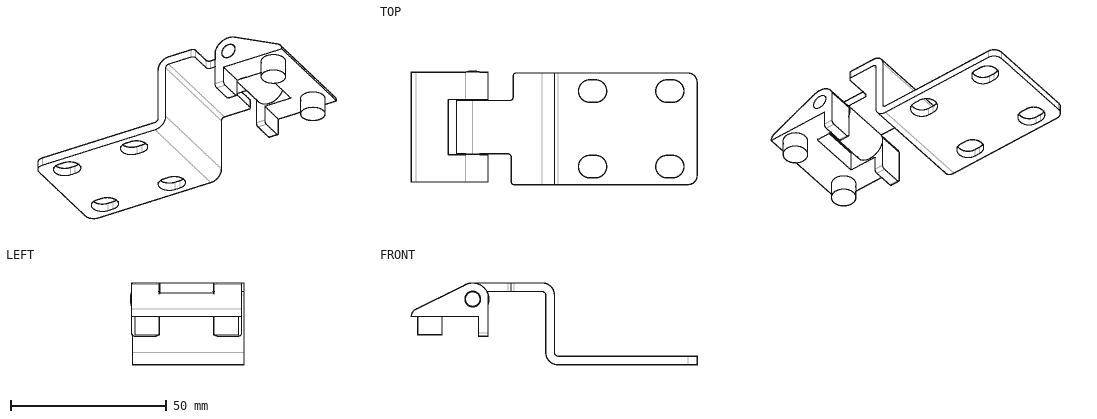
import cadquery as cq
import math


AXIS_X = 19.8
PIN_RADIUS = 2.4
PIN_CLEARANCE = 0.1
BORE_RADIUS = PIN_RADIUS + PIN_CLEARANCE
PIN_END_Y = 36.7
PIN_LENGTH = 30.0
PIN_DOME = 0.4

LENGTH = 92.25
BRACKET_WIDTH = 36.1
BRACKET_HEIGHT = 26.5
SHEET = 2.9
INNER_BEND = 1.1
OUTER_BEND = INNER_BEND + SHEET
WEB_X = 43.4
KNUCKLE_RADIUS = 5.3
AXIS_Z = BRACKET_HEIGHT - KNUCKLE_RADIUS
FOOT_CORNER_RADIUS = 3.0

NECK_WIDTH = 17.25
FRONT_SHOULDER_X = 32.2
REAR_SHOULDER_X = 32.8
SHOULDER_RADIUS = 1.0

SLOT_LENGTH = 9.0
SLOT_WIDTH = 7.2
SLOT_FIRST_X = 58.5
SLOT_SPACING_X = 24.9
SLOT_SPACING_Y = 24.4

BASE_WIDTH = 35.5
BASE_FRONT_Y = 0.8
CENTRE_Y = BASE_FRONT_Y + BASE_WIDTH / 2
BASE_BOTTOM_Z = 15.6
BARREL_RADIUS = 5.2
NOSE_RADIUS = 2.7
BASE_END_X = 24.8
OPENING_X = 12.0
OPENING_WIDTH = 17.8
FLANGE_THICKNESS = 3.1
FLANGE_BOTTOM_Z = 9.2
FLANGE_CORNER_RADIUS = 1.0
STUD_RADIUS = 4.0
STUD_X = 6.0
STUD_BOTTOM_Z = 9.7
STUD_SPACING = 25.5


def along_y(y_start, x=0, z=0):
    """XZ sketch plane at y_start whose extrusions run toward +Y."""
    return cq.Workplane(cq.Plane(origin=(x, y_start, z), xDir=(1, 0, 0), normal=(0, -1, 0)))


def y_prism(sketch, width):
    """Extrude an XZ sketch toward +Y."""
    return sketch.extrude(-width)


def box_between(x0, x1, y0, y1, z0, z1):
    return cq.Workplane("XY").box(x1 - x0, y1 - y0, z1 - z0, centered=False).translate((x0, y0, z0))


def make_pin():
    """Round pin with a shallow domed tip at its +Y end."""
    start_y = PIN_END_Y - PIN_LENGTH
    shoulder_y = PIN_END_Y - PIN_DOME
    dome_radius = (PIN_RADIUS**2 + PIN_DOME**2) / (2 * PIN_DOME)
    half_profile = (
        cq.Workplane("XY", origin=(AXIS_X, 0, AXIS_Z))
        .moveTo(0, start_y)
        .lineTo(PIN_RADIUS, start_y)
        .lineTo(PIN_RADIUS, shoulder_y)
        .radiusArc((0, PIN_END_Y), -dome_radius)
        .close()
    )
    return half_profile.revolve(360, (0, 0, 0), (0, 1, 0))


def pin_bore():
    """Cylinder on the hinge axis, long enough to pierce the base and the knuckle."""
    return y_prism(along_y(0, AXIS_X, AXIS_Z).circle(BORE_RADIUS), PIN_END_Y)


def make_base():
    run = AXIS_X - NOSE_RADIUS
    rise = AXIS_Z - BASE_BOTTOM_Z
    slope = math.atan2(rise, run) + math.asin((BARREL_RADIUS - NOSE_RADIUS) / math.hypot(run, rise))

    def on_arc(centre_x, centre_z, radius, angle):
        return centre_x + radius * math.cos(angle), centre_z + radius * math.sin(angle)

    def on_nose(angle):
        return on_arc(NOSE_RADIUS, BASE_BOTTOM_Z, NOSE_RADIUS, angle)

    def on_barrel(angle):
        return on_arc(AXIS_X, AXIS_Z, BARREL_RADIUS, angle)

    tangent = math.pi / 2 + slope
    barrel_end = math.acos((BASE_END_X - AXIS_X) / BARREL_RADIUS)
    base = y_prism(
        along_y(BASE_FRONT_Y)
        .moveTo(*on_nose(math.pi))
        .threePointArc(on_nose((math.pi + tangent) / 2), on_nose(tangent))
        .lineTo(*on_barrel(tangent))
        .threePointArc(on_barrel((tangent + barrel_end) / 2), on_barrel(barrel_end))
        .lineTo(BASE_END_X, FLANGE_BOTTOM_Z)
        .lineTo(BASE_END_X - FLANGE_THICKNESS, FLANGE_BOTTOM_Z)
        .lineTo(BASE_END_X - FLANGE_THICKNESS, BASE_BOTTOM_Z)
        .close(),
        BASE_WIDTH,
    )

    opening = box_between(
        OPENING_X, BASE_END_X,
        CENTRE_Y - OPENING_WIDTH / 2, CENTRE_Y + OPENING_WIDTH / 2,
        0, BRACKET_HEIGHT,
    )
    base = base.cut(opening)
    base = base.faces("<Z").edges("|X").fillet(FLANGE_CORNER_RADIUS)

    studs = (
        cq.Workplane("XY", origin=(STUD_X, CENTRE_Y, STUD_BOTTOM_Z))
        .rarray(0.9, STUD_SPACING, 1, 2)
        .circle(STUD_RADIUS)
        .extrude(BASE_BOTTOM_Z - STUD_BOTTOM_Z)
    )
    return base.union(studs).cut(pin_bore())


def make_cranked_sheet():
    """Bent sheet from the hinge axis, down the web and out along the foot."""
    web_far_x = WEB_X + SHEET
    sheet = y_prism(
        along_y(0)
        .moveTo(AXIS_X, BRACKET_HEIGHT)
        .lineTo(web_far_x, BRACKET_HEIGHT)
        .lineTo(web_far_x, SHEET)
        .lineTo(LENGTH, SHEET)
        .lineTo(LENGTH, 0)
        .lineTo(WEB_X, 0)
        .lineTo(WEB_X, BRACKET_HEIGHT - SHEET)
        .lineTo(AXIS_X, BRACKET_HEIGHT - SHEET)
        .close(),
        BRACKET_WIDTH,
    )

    def bend_edge(x, z):
        return cq.selectors.NearestToPointSelector((x, BRACKET_WIDTH / 2, z))

    for x, z in ((web_far_x, BRACKET_HEIGHT), (WEB_X, 0)):
        sheet = sheet.edges(bend_edge(x, z)).fillet(OUTER_BEND)
    for x, z in ((web_far_x, SHEET), (WEB_X, BRACKET_HEIGHT - SHEET)):
        sheet = sheet.edges(bend_edge(x, z)).fillet(INNER_BEND)
    return sheet.edges("|Z").edges(">X").fillet(FOOT_CORNER_RADIUS)


def make_bracket():
    bracket = make_cranked_sheet()
    neck_front_y = CENTRE_Y - NECK_WIDTH / 2
    neck_rear_y = CENTRE_Y + NECK_WIDTH / 2

    for shoulder_x, neck_y, side_y in (
        (FRONT_SHOULDER_X, neck_front_y, 0),
        (REAR_SHOULDER_X, neck_rear_y, BRACKET_WIDTH),
    ):
        notch = box_between(
            AXIS_X, shoulder_x, min(neck_y, side_y), max(neck_y, side_y), SHEET, BRACKET_HEIGHT
        )
        bracket = bracket.cut(notch)
        for corner_y in (neck_y, side_y):
            corner = (shoulder_x, corner_y, BRACKET_HEIGHT - SHEET / 2)
            bracket = bracket.edges(cq.selectors.NearestToPointSelector(corner)).fillet(SHOULDER_RADIUS)

    knuckle = y_prism(along_y(neck_front_y, AXIS_X, AXIS_Z).circle(KNUCKLE_RADIUS), NECK_WIDTH)

    slots = (
        cq.Workplane("XY", origin=(SLOT_FIRST_X + SLOT_SPACING_X / 2, BRACKET_WIDTH / 2, 0))
        .rarray(SLOT_SPACING_X, SLOT_SPACING_Y, 2, 2)
        .slot2D(SLOT_LENGTH, SLOT_WIDTH)
        .extrude(SHEET)
    )
    return bracket.union(knuckle).cut(pin_bore()).cut(slots)


base = make_base()
bracket = make_bracket()
pin = make_pin()

result = cq.Compound.makeCompound([base.val(), bracket.val(), pin.val()])